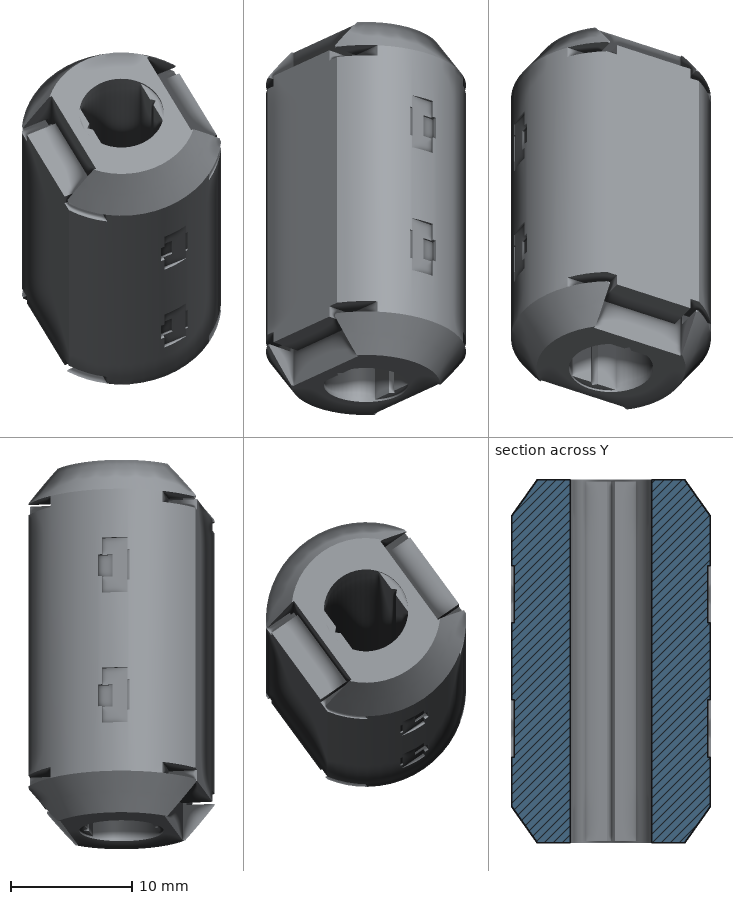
import cadquery as cq

length = 30.0
body_radius = 8.25
flat_to_flat = 14.0
cone_height = 3.0
end_radius = 6.15

step_width = 8.2
step_wall_y = 4.38

slot_height = 0.93
slot_wall_y = 4.68
slot_outer_x = 6.8
drop_left_x = -3.4
drop_right_x = 3.57

bore_radius = 3.48
core_half_gap = 2.8
core_recess = 0.18
groove_width = 0.65
groove_depth = 0.35

latch_face_x = 7.98
latch_spacing = 11.07
latch_height = 4.68
latch_y = (-0.12, 1.98)
button_depth = 0.18
button_height = 1.85
button_y = (-0.45, 0.72)
lip_depth = 0.12
lip_height = 2.55
lip_y = (1.92, 2.15)

half_flat = flat_to_flat / 2
shoulder_z = length - cone_height


def block(x_range, y_range, z_range):
    """Box between two limits on each axis."""
    (x0, x1), (y0, y1), (z0, z1) = x_range, y_range, z_range
    return cq.Workplane("XY").box(x1 - x0, y1 - y0, z1 - z0, centered=False).translate((x0, y0, z0))


def four_ways(cutter):
    """The cutter at both flat sides and both ends."""
    pair = cutter.union(cutter.mirror("XZ"))
    return pair.union(pair.mirror("XY", (0, 0, length / 2)))


def make_body():
    profile = [
        (0, 0),
        (end_radius, 0),
        (body_radius, cone_height),
        (body_radius, shoulder_z),
        (end_radius, length),
        (0, length),
    ]
    turned = cq.Workplane("XZ").polyline(profile).close().revolve(360, (0, 0), (0, 1))
    x_limits = (-body_radius, body_radius)
    return turned.intersect(block(x_limits, (-half_flat, half_flat), (0, length)))


def make_end_steps():
    """Steps whose floor drops to the slot floor near the left and right edges."""
    half_width = step_width / 2
    y_limits = (step_wall_y, half_flat)
    step = block((-half_width, half_width), y_limits, (shoulder_z, length))
    slot_z = (shoulder_z - slot_height, shoulder_z)
    left_drop = block((-half_width, drop_left_x), y_limits, slot_z)
    right_drop = block((drop_right_x, half_width), y_limits, slot_z)
    return four_ways(step.union(left_drop).union(right_drop))


def make_slots():
    y_limits = (slot_wall_y, half_flat)
    z_limits = (shoulder_z - slot_height, shoulder_z)
    slot = block((step_width / 2, slot_outer_x), y_limits, z_limits)
    return four_ways(slot.union(slot.mirror("YZ")))


def make_bore():
    bore = cq.Workplane("XY").circle(bore_radius).extrude(length)
    core_z = (core_recess, length - core_recess)
    half_groove = groove_width / 2
    for side in (-1, 1):
        inner_y, outer_y = sorted((side * core_half_gap, side * bore_radius))
        pad = block((-bore_radius, bore_radius), (inner_y, outer_y), core_z)
        groove = (
            cq.Workplane("XY")
            .moveTo(-half_groove, side * core_half_gap)
            .lineTo(0, side * (core_half_gap + groove_depth))
            .lineTo(half_groove, side * core_half_gap)
            .close()
            .extrude(length)
        )
        bore = bore.cut(pad.cut(groove))
    return bore


def make_latch(z_center):
    """Latch recess on the -X side: a wide pocket, a deeper button pocket and a lip pocket."""

    def pocket(face_x, y_limits, height):
        z_limits = (z_center - height / 2, z_center + height / 2)
        return block((-body_radius, -face_x), y_limits, z_limits)

    plate = pocket(latch_face_x, latch_y, latch_height)
    button = pocket(latch_face_x - button_depth, button_y, button_height)
    lip = pocket(latch_face_x - lip_depth, lip_y, lip_height)
    return plate.union(button).union(lip)


result = make_body().cut(make_end_steps()).cut(make_slots()).cut(make_bore())
for offset in (-latch_spacing / 2, latch_spacing / 2):
    latch = make_latch(length / 2 + offset)
    result = result.cut(latch).cut(latch.mirror("YZ"))